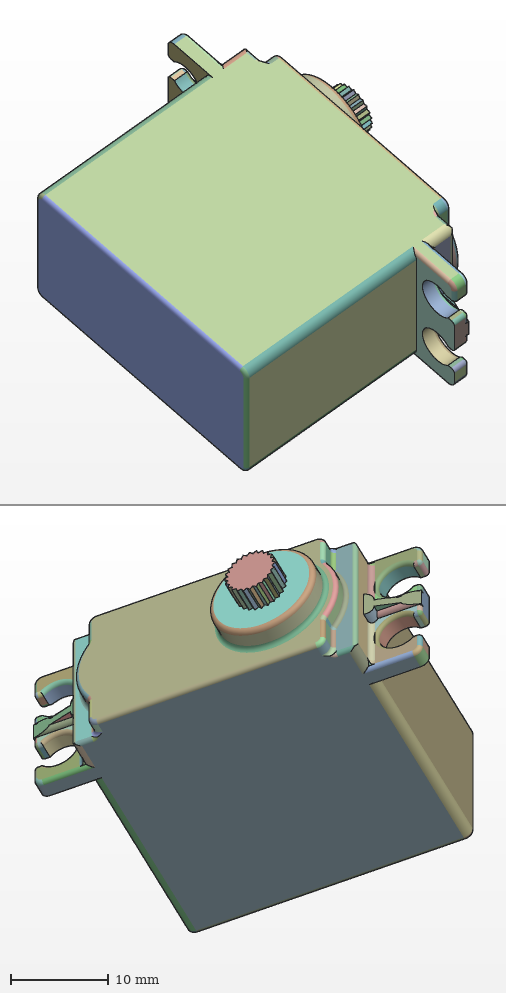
import cadquery as cq
import math

CASE_WIDTH = 32.4
CASE_DEPTH = 16.77
SHOULDER_Y = 28.84
CASE_SIDE_RADIUS = 1.0
EDGE_RADIUS = 0.45

DECK_Y = 30.82
DECK_WIDTH = 26.9
BULGE_RADIUS = 7.4
BULGE_BLEND_RADIUS = 0.8
BULGE_X = 7.5

SHAFT_X = -BULGE_X
BOSS_RADIUS = 6.0
BOSS_TOP_Y = 33.4
BOSS_EDGE_RADIUS = 0.55
BOSS_FOOT_RADIUS = 0.5
SHAFT_TOP_Y = 36.28
SPLINE_RADIUS = 2.88
SPLINE_ROOT_RADIUS = 2.55
SPLINE_TEETH = 24

TAB_SPAN = 44.07
TAB_BOTTOM_Y = 23.61
TAB_TOP_Y = 25.6
TAB_CORNER_RADIUS = 1.0
TAB_ROOT_RADIUS = 0.6
HOLE_X = 19.38
HOLE_Z = 3.92
HOLE_RADIUS = 2.27
SLOT_WIDTH = 3.07
SLOT_CORNER_RADIUS = 0.46

GUSSET_THICKNESS = 1.0
GUSSET_ROOT_Y = 27.18
GUSSET_FOOT_RADIUS = 0.55
GUSSET_ROOT_RADIUS = 1.05

SLACK = 4.0
OVERLAP = 1.0
PICK_MARGIN = 0.05

HALF_CASE = CASE_WIDTH / 2
HALF_DEPTH = CASE_DEPTH / 2
HALF_DECK = DECK_WIDTH / 2
HALF_SPAN = TAB_SPAN / 2
HALF_SLOT = SLOT_WIDTH / 2
TAB_THICKNESS = TAB_TOP_Y - TAB_BOTTOM_Y


def plane_at(y):
    """Workplane facing +Y at the given height, with local axes X and -Z."""
    return cq.Workplane(cq.Plane(origin=(0, y, 0), xDir=(1, 0, 0), normal=(0, 1, 0)))


def box(x_range, y_range, z_range):
    """Box between the given limits along each axis."""
    (x0, x1), (y0, y1), (z0, z1) = x_range, y_range, z_range
    return cq.Workplane("XY").box(x1 - x0, y1 - y0, z1 - z0, centered=False).translate((x0, y0, z0))


def within(half_width, y_range, z_range):
    """Selector for edges centred in a box that is symmetric about X = 0."""
    (y0, y1), (z0, z1) = y_range, z_range
    margin = PICK_MARGIN
    return cq.selectors.BoxSelector(
        (-half_width - margin, y0 - margin, z0 - margin), (half_width + margin, y1 + margin, z1 + margin)
    )


def make_deck():
    """Deck outline: a rounded rectangle with a bulge at each end, reaching below the shoulder."""
    foot_y = SHOULDER_Y - OVERLAP
    height = DECK_Y - foot_y
    deck = plane_at(foot_y).rect(DECK_WIDTH, CASE_DEPTH).extrude(height)
    deck = deck.edges("|Y").fillet(CASE_SIDE_RADIUS)
    for x in (-BULGE_X, BULGE_X):
        deck = deck.union(plane_at(foot_y).center(x, 0).circle(BULGE_RADIUS).extrude(height))

    junction_z = math.sqrt(BULGE_RADIUS**2 - (HALF_DECK - BULGE_X) ** 2)
    for x in (-HALF_DECK, HALF_DECK):
        for z in (-junction_z, junction_z):
            junction = cq.selectors.NearestToPointSelector((x, (foot_y + DECK_Y) / 2, z))
            deck = deck.edges("|Y").edges(junction).fillet(BULGE_BLEND_RADIUS)
    return deck.faces(">Y").edges().fillet(EDGE_RADIUS)


def make_stepped_body():
    """Deck on a slab deeper than the case, with the foot of the deck blended all round."""
    slab = box((-HALF_CASE, HALF_CASE), (0, SHOULDER_Y), (-HALF_DEPTH - SLACK, HALF_DEPTH + SLACK))
    slab = slab.edges(">Y and |Z").fillet(EDGE_RADIUS)
    body = slab.union(make_deck())
    deck_foot = within(BULGE_X + BULGE_RADIUS, (SHOULDER_Y, SHOULDER_Y), (-HALF_DEPTH, HALF_DEPTH))
    return body.edges(deck_foot).fillet(EDGE_RADIUS)


def make_side_envelope():
    """Case silhouette with its step, rounded where the step meets the +Z and -Z faces."""
    r = EDGE_RADIUS
    envelope = (
        cq.Workplane("XY", origin=(0, 0, -HALF_DEPTH))
        .moveTo(-HALF_CASE, 0)
        .lineTo(HALF_CASE, 0)
        .lineTo(HALF_CASE, SHOULDER_Y)
        .lineTo(HALF_DECK + r, SHOULDER_Y)
        .radiusArc((HALF_DECK, SHOULDER_Y + r), r)
        .lineTo(HALF_DECK, DECK_Y)
        .lineTo(-HALF_DECK, DECK_Y)
        .lineTo(-HALF_DECK, SHOULDER_Y + r)
        .radiusArc((-HALF_DECK - r, SHOULDER_Y), r)
        .lineTo(-HALF_CASE, SHOULDER_Y)
        .close()
        .extrude(CASE_DEPTH)
    )
    step = within(HALF_CASE, (SHOULDER_Y, DECK_Y - r), (-HALF_DEPTH, HALF_DEPTH))
    envelope = envelope.faces("|Z").edges(step).fillet(r)
    core = HALF_DEPTH - r
    return envelope.union(box((-HALF_CASE, HALF_CASE), (0, DECK_Y), (-core, core)))


def make_case():
    """Complete case: the stepped body trimmed to the rounded column and the side silhouette."""
    column = plane_at(0).rect(CASE_WIDTH, CASE_DEPTH).extrude(DECK_Y).edges("|Y").fillet(CASE_SIDE_RADIUS)
    column = column.faces("<Y").edges().fillet(EDGE_RADIUS)
    return column.intersect(make_stepped_body()).intersect(make_side_envelope())


def make_boss():
    """Bearing boss with a rounded rim and a flared foot."""
    foot = BOSS_FOOT_RADIUS
    rim = BOSS_EDGE_RADIUS
    return (
        cq.Workplane("XY")
        .moveTo(0, DECK_Y - OVERLAP)
        .lineTo(BOSS_RADIUS + foot, DECK_Y - OVERLAP)
        .lineTo(BOSS_RADIUS + foot, DECK_Y)
        .radiusArc((BOSS_RADIUS, DECK_Y + foot), foot)
        .lineTo(BOSS_RADIUS, BOSS_TOP_Y - rim)
        .radiusArc((BOSS_RADIUS - rim, BOSS_TOP_Y), -rim)
        .lineTo(0, BOSS_TOP_Y)
        .close()
        .revolve(360, (0, 0, 0), (0, 1, 0))
        .translate((SHAFT_X, 0, 0))
    )


def make_spline():
    """Output shaft with pointed teeth."""
    half_pitch = math.pi / SPLINE_TEETH
    outline = []
    for tooth in range(SPLINE_TEETH):
        tip_angle = 2 * tooth * half_pitch
        root_angle = tip_angle + half_pitch
        for radius, angle in ((SPLINE_RADIUS, tip_angle), (SPLINE_ROOT_RADIUS, root_angle)):
            outline.append((radius * math.cos(angle), radius * math.sin(angle)))
    bottom_y = BOSS_TOP_Y - OVERLAP
    return plane_at(bottom_y).center(SHAFT_X, 0).polyline(outline).close().extrude(SHAFT_TOP_Y - bottom_y)


def make_slots():
    """Two keyhole slots, open at the end of the +X tab."""
    bottom_y = TAB_BOTTOM_Y - SLACK
    top_y = TAB_TOP_Y + SLACK
    slots = cq.Workplane("XY")
    for z in (-HOLE_Z, HOLE_Z):
        hole = plane_at(bottom_y).center(HOLE_X, z).circle(HOLE_RADIUS).extrude(top_y - bottom_y)
        mouth = box((HOLE_X, HALF_SPAN + SLACK), (bottom_y, top_y), (z - HALF_SLOT, z + HALF_SLOT))
        slots = slots.union(hole).union(mouth)
    return slots


def make_tab(round_lower_prong):
    """Slotted +X tab from the middle of the case outward, with rounded upper edges.

    The lower outside edge of the +Z prong can be rounded as well.
    """
    tab = box((0, HALF_SPAN), (TAB_BOTTOM_Y, TAB_TOP_Y), (-HALF_DEPTH, HALF_DEPTH))
    tab = tab.edges(">X and |Y").fillet(TAB_CORNER_RADIUS)
    tab = tab.cut(make_slots())
    prong_z = HOLE_Z + HALF_SLOT
    if round_lower_prong:
        corner = cq.selectors.NearestToPointSelector((HALF_SPAN, TAB_BOTTOM_Y, HALF_DEPTH))
        tab = tab.edges(corner).fillet(EDGE_RADIUS)
    mouths = within(HALF_SPAN, (TAB_BOTTOM_Y, TAB_TOP_Y), (-prong_z, prong_z))
    tab = tab.edges("|Y and >X").edges(mouths).fillet(SLOT_CORNER_RADIUS)
    return tab.faces(">Y").edges("not <X").fillet(EDGE_RADIUS)


def make_tab_roots():
    """Cove between the tops of the tabs and the case, mitred toward the +Z and -Z faces."""
    plate_y = TAB_TOP_Y - OVERLAP
    plate = box((-HALF_SPAN, HALF_SPAN), (plate_y, TAB_TOP_Y), (-HALF_DEPTH - SLACK, HALF_DEPTH + SLACK))
    column = plane_at(plate_y).rect(CASE_WIDTH, CASE_DEPTH).extrude(SHOULDER_Y - OVERLAP - plate_y)
    cove = plate.union(column.edges("|Y").fillet(CASE_SIDE_RADIUS))
    root = within(HALF_CASE, (TAB_TOP_Y, TAB_TOP_Y), (-HALF_DEPTH, HALF_DEPTH))
    cove = cove.edges(root).fillet(TAB_ROOT_RADIUS)
    reach = HALF_CASE + TAB_ROOT_RADIUS
    low = HALF_DEPTH - EDGE_RADIUS
    high = low - TAB_ROOT_RADIUS
    mitre = (
        cq.Workplane("YZ", origin=(-reach, 0, 0))
        .moveTo(TAB_TOP_Y, -low)
        .lineTo(TAB_TOP_Y + TAB_ROOT_RADIUS, -high)
        .lineTo(TAB_TOP_Y + TAB_ROOT_RADIUS, high)
        .lineTo(TAB_TOP_Y, low)
        .close()
        .extrude(2 * reach)
    )
    return cove.intersect(mitre)


def make_gusset():
    """Sloping gusset of the +X tab, flared toward the tab and toward the case."""
    half = GUSSET_THICKNESS / 2
    foot = GUSSET_FOOT_RADIUS
    flare = GUSSET_ROOT_RADIUS
    inside_x = HALF_CASE - OVERLAP
    buried_y = TAB_TOP_Y - OVERLAP
    slope = (
        cq.Workplane("XY", origin=(0, 0, -SLACK))
        .moveTo(inside_x, buried_y)
        .lineTo(HALF_SPAN, buried_y)
        .lineTo(HALF_SPAN, TAB_TOP_Y)
        .lineTo(HALF_CASE, GUSSET_ROOT_Y)
        .lineTo(inside_x, GUSSET_ROOT_Y)
        .close()
        .extrude(2 * SLACK)
    )
    along_tab = (
        cq.Workplane("YZ", origin=(inside_x, 0, 0))
        .moveTo(buried_y, -half - foot)
        .lineTo(TAB_TOP_Y, -half - foot)
        .radiusArc((TAB_TOP_Y + foot, -half), -foot)
        .lineTo(GUSSET_ROOT_Y, -half)
        .lineTo(GUSSET_ROOT_Y, half)
        .lineTo(TAB_TOP_Y + foot, half)
        .radiusArc((TAB_TOP_Y, half + foot), -foot)
        .lineTo(buried_y, half + foot)
        .close()
        .extrude(HALF_SPAN - inside_x)
    )
    against_case = (
        plane_at(buried_y)
        .moveTo(inside_x, -half - flare)
        .lineTo(HALF_CASE, -half - flare)
        .radiusArc((HALF_CASE + flare, -half), -flare)
        .lineTo(HALF_CASE + flare, half)
        .radiusArc((HALF_CASE, half + flare), -flare)
        .lineTo(inside_x, half + flare)
        .close()
        .extrude(SLACK)
    )
    return along_tab.union(against_case).intersect(slope)


gusset = make_gusset()
result = (
    make_case()
    .union(make_tab(round_lower_prong=True))
    .union(make_tab(round_lower_prong=False).mirror("YZ"))
    .union(make_tab_roots())
    .union(gusset)
    .union(gusset.mirror("YZ"))
    .union(make_boss())
    .union(make_spline())
)